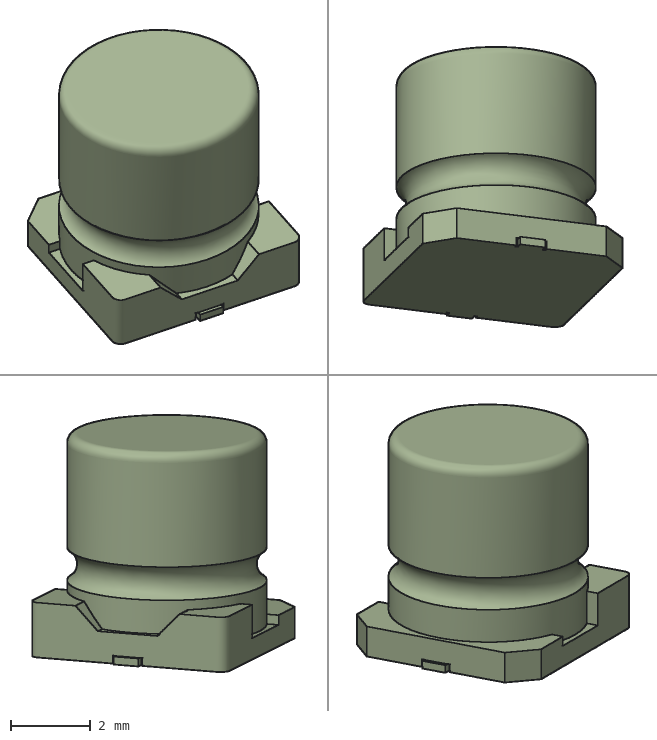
import cadquery as cq

base_length = 5.3
base_low_height = 0.8
base_channel_height = 0.55
base_high_height = 1.4
corner_chamfer = 0.665
corner_radius = 0.25
half_base = base_length / 2
channel_half_width = base_length / 6

notch_floor_width = 1.595
notch_top_width = notch_floor_width + 2 * (base_high_height - base_low_height)

can_diameter = 5.0
can_top = 5.41
can_top_fillet = 0.25
groove_bottom = 1.655
groove_top = 2.5
groove_depth = 0.25
can_radius = can_diameter / 2

overall_length = 5.5
lead_width = 0.665
lead_height = 0.205
lead_slot_width = 0.805
lead_slot_depth = (overall_length - base_length) / 2


def make_base():
    stepped_profile = [
        (-half_base, 0),
        (half_base, 0),
        (half_base, base_high_height),
        (channel_half_width, base_high_height),
        (channel_half_width, base_channel_height),
        (-channel_half_width, base_channel_height),
        (-channel_half_width, base_low_height),
        (-half_base, base_low_height),
    ]
    base = (
        cq.Workplane("XZ")
        .polyline(stepped_profile)
        .close()
        .extrude(half_base, both=True)
    )
    base = base.edges("|Z and <X").chamfer(corner_chamfer)
    return base.edges("|Z and >X").fillet(corner_radius)


def make_notch():
    notch_profile = [
        (-notch_floor_width / 2, base_low_height),
        (notch_floor_width / 2, base_low_height),
        (notch_top_width / 2, base_high_height),
        (-notch_top_width / 2, base_high_height),
    ]
    return cq.Workplane("YZ").polyline(notch_profile).close().extrude(half_base)


def make_can():
    groove_middle = (groove_bottom + groove_top) / 2
    can = (
        cq.Workplane("XZ")
        .lineTo(can_radius, 0)
        .lineTo(can_radius, groove_bottom)
        .threePointArc((can_radius - groove_depth, groove_middle), (can_radius, groove_top))
        .lineTo(can_radius, can_top)
        .lineTo(0, can_top)
        .close()
        .revolve(360, (0, 0, 0), (0, 1, 0))
    )
    return can.faces(">Z").edges().fillet(can_top_fillet)


def make_bottom_bar(length, width):
    return cq.Workplane("XY").box(length, width, lead_height, centered=(True, True, False))


def make_lead_slots():
    slot_span = make_bottom_bar(base_length, lead_slot_width)
    kept_middle = make_bottom_bar(base_length - 2 * lead_slot_depth, lead_slot_width)
    return slot_span.cut(kept_middle)


body = make_base().cut(make_notch()).union(make_can())
result = body.cut(make_lead_slots()).union(make_bottom_bar(overall_length, lead_width))